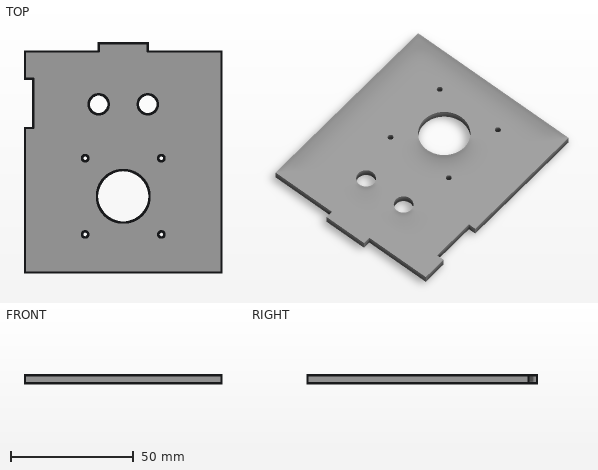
import cadquery as cq

overall_length = 93.4
plate_width = 80.0
thickness = 3.4

joint_depth = thickness
joint_length = 20.0
plate_length = overall_length - joint_depth
notch_to_back_edge = 11.2

pair_diameter = 8.0
pair_spacing = 20.0
pair_y = 68.5

opening_diameter = 21.3
opening_y = 31.0
screw_diameter = 2.4
screw_spacing = 31.0


def box_between(x_min, y_min, width, length):
    """Block of plate thickness, placed by its minimum X and Y corner."""
    return (
        cq.Workplane("XY")
        .box(width, length, thickness, centered=False)
        .translate((x_min, y_min, 0))
    )


def round_cutters(points, diameter):
    """Full-thickness cylinders at the given points."""
    return cq.Workplane("XY").pushPoints(points).circle(diameter / 2).extrude(thickness)


left_edge = -plate_width / 2
notch_y = plate_length - notch_to_back_edge - joint_length
plate = box_between(left_edge, 0, plate_width, plate_length)
tab = box_between(-joint_length / 2, plate_length, joint_length, joint_depth)
notch = box_between(left_edge, notch_y, joint_depth, joint_length)
result = plate.union(tab).cut(notch)

pair_points = [(side * pair_spacing / 2, pair_y) for side in (-1, 1)]
screw_points = [
    (x_side * screw_spacing / 2, opening_y + y_side * screw_spacing / 2)
    for x_side in (-1, 1)
    for y_side in (-1, 1)
]
result = (
    result.cut(round_cutters(pair_points, pair_diameter))
    .cut(round_cutters([(0, opening_y)], opening_diameter))
    .cut(round_cutters(screw_points, screw_diameter))
)